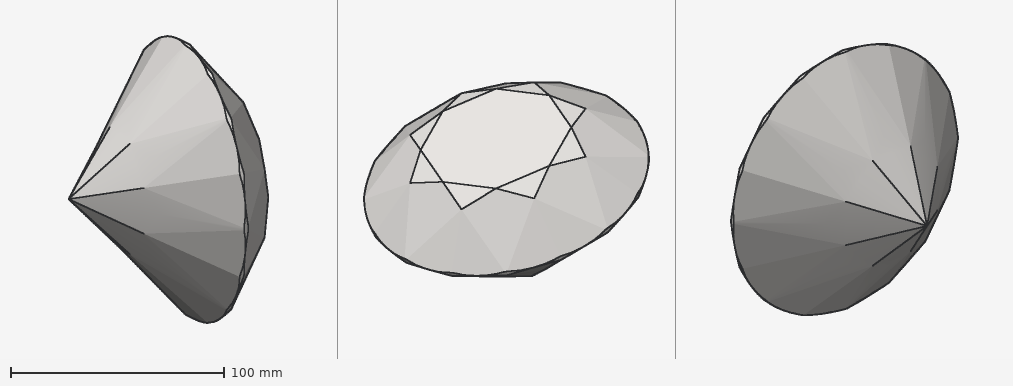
import math

import cadquery as cq


girdle_diameter = 135.92
total_height = 86.52
crown_height = 24.4
girdle_thickness = 2.25
table_radius = 36.0
star_radius = 45.4
main_side_radius = 30.1
main_side_rise = 26.2
blunt_tip_width = 1.2

main_count = 8
main_step = 360 / main_count
half_step = main_step / 2

girdle_radius = girdle_diameter / 2
crown_base_y = girdle_thickness / 2
pavilion_top_y = -girdle_thickness / 2
table_y = crown_base_y + crown_height
culet_y = table_y - total_height
main_side_y = culet_y + main_side_rise
tip_angle = math.degrees(math.asin(blunt_tip_width / 2 / girdle_radius))
cutter_size = 4 * girdle_diameter

kite_slope = crown_height / (girdle_radius - table_radius)
star_reach = star_radius * math.cos(math.radians(half_step))
star_y = table_y - kite_slope * (star_reach - table_radius)


def polar_point(radius, angle, y):
    """Point at the given radius and angle (degrees) about the Y axis."""
    turn = math.radians(angle)
    return cq.Vector(radius * math.cos(turn), y, radius * math.sin(turn))


def spin(shape, angle):
    """Turn a shape about the Y axis in the sense of polar_point."""
    return shape.rotate((0, 0, 0), (0, 1, 0), -angle)


def facet_cutter(corner_a, corner_b, corner_c):
    """Block lying on the outer side of the flat facet through three corners."""
    normal = (corner_b - corner_a).cross(corner_c - corner_a).normalized()
    if normal.dot(corner_a) < 0:
        normal = -normal
    plane = cq.Plane(origin=corner_a, normal=normal)
    return cq.Workplane(plane).rect(cutter_size, cutter_size).extrude(cutter_size).val()


def girdle_blank():
    """Cylinder that carries the girdle, flat at the table and long enough for the culet."""
    culet = cq.Vector(0, culet_y, 0)
    axis = cq.Vector(0, 1, 0)
    return cq.Solid.makeCylinder(girdle_radius, total_height, culet, axis)


def crown_cutters():
    """Kite, star and the two upper girdle facets of one sector."""
    kite_table = polar_point(table_radius, 0, table_y)
    next_table = polar_point(table_radius, main_step, table_y)
    star_tip = polar_point(star_radius, half_step, star_y)
    previous_star_tip = polar_point(star_radius, -half_step, star_y)
    kite_girdle = polar_point(girdle_radius, 0, crown_base_y)
    half_girdle = polar_point(girdle_radius, half_step, crown_base_y)
    tip_corner = polar_point(girdle_radius, tip_angle, crown_base_y)
    next_tip_corner = polar_point(girdle_radius, main_step - tip_angle, crown_base_y)
    return [
        facet_cutter(star_tip, previous_star_tip, kite_girdle),
        facet_cutter(kite_table, next_table, star_tip),
        facet_cutter(star_tip, tip_corner, half_girdle),
        facet_cutter(star_tip, half_girdle, next_tip_corner),
    ]


def lower_girdle_cutters():
    """The two lower girdle facets of one sector, which meet on the ridge at its middle."""
    main_side = polar_point(main_side_radius, half_step, main_side_y)
    half_girdle = polar_point(girdle_radius, half_step, pavilion_top_y)
    return [
        facet_cutter(main_side, half_girdle, polar_point(girdle_radius, angle, pavilion_top_y))
        for angle in (tip_angle, main_step - tip_angle)
    ]


def main_cutter():
    """Space under one pavilion main, a slightly warped facet with straight edges.

    Its two outer edges meet at a point just beyond the girdle, which leaves the blunt tip.
    """
    culet = cq.Vector(0, culet_y, 0)
    left_side = polar_point(main_side_radius, -half_step, main_side_y)
    right_side = polar_point(main_side_radius, half_step, main_side_y)
    tip_corner = polar_point(girdle_radius, tip_angle, pavilion_top_y)
    reach = right_side.z / (right_side.z - tip_corner.z)
    tip = right_side + (tip_corner - right_side) * reach
    corners = [culet, left_side, tip, right_side]
    edges = [cq.Edge.makeLine(corners[i - 1], corner) for i, corner in enumerate(corners)]
    facet = cq.Face.makeNSidedSurface(edges, [])
    return cq.Solid.extrudeLinear(facet, cq.Vector(0, -cutter_size, 0))


def cut_all_sectors(body, cutters):
    """Repeat one sector's cutters around the axis."""
    for index in range(main_count):
        for cutter in cutters:
            body = body.cut(spin(cutter, index * main_step))
    return body


gem = girdle_blank()
gem = cut_all_sectors(gem, crown_cutters())
gem = cut_all_sectors(gem, lower_girdle_cutters())
gem = cut_all_sectors(gem, [main_cutter()])

result = cq.Workplane("XY").newObject(gem.Solids())